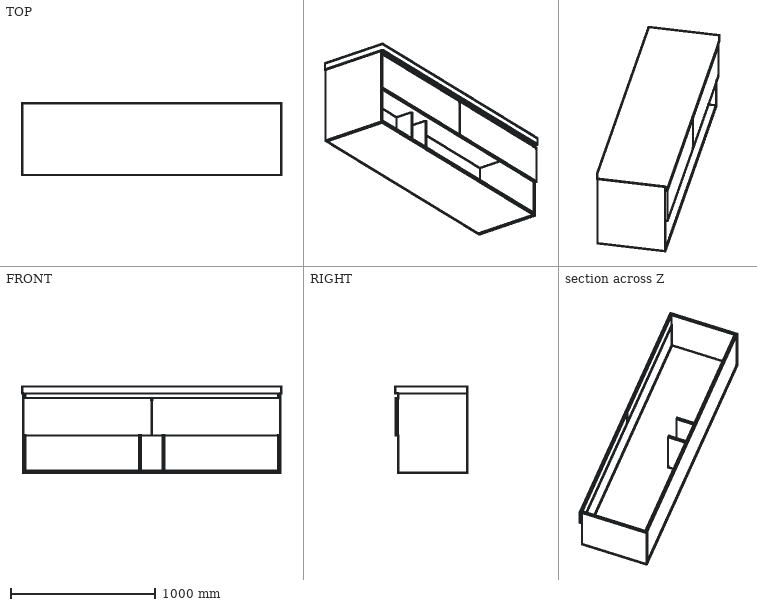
import cadquery as cq

length = 1800.0
depth = 500.0
height = 600.0

top_thickness = 49.0
top_edge_round = 1.0
top_side_overhang = 7.0
top_front_overhang = 20.0

panel = 16.0
cabinet_length = length - 2 * top_side_overhang
cabinet_height = height - top_thickness
cabinet_front = top_front_overhang
cabinet_depth = depth - cabinet_front
inner_length = cabinet_length - 2 * panel

head_thickness = 45.0
rib_spacing = 162.0
rib_depth = 144.0

drawer_bottom = 260.0
drawer_height = 261.0
drawer_top_drop = 7.0
drawer_gap = 5.0
drawer_length = (cabinet_length - drawer_gap) / 2


def block(x_centre, y_front, z_bottom, x_size, y_size, z_size):
    """Box centred on x_centre, running back from y_front and up from z_bottom."""
    return (
        cq.Workplane("XY")
        .box(x_size, y_size, z_size, centered=(True, False, False))
        .translate((x_centre, y_front, z_bottom))
    )


def make_worktop():
    slab = block(0, 0, cabinet_height, length, depth, top_thickness)
    return slab.edges("|Z or >Z").fillet(top_edge_round)


def make_side_panel(side):
    x_centre = side * (cabinet_length - panel) / 2
    return block(x_centre, cabinet_front, 0, panel, cabinet_depth, cabinet_height)


def make_floor_panel():
    return block(0, cabinet_front, 0, inner_length, cabinet_depth, panel)


def make_inner_frame():
    head_bottom = cabinet_height - head_thickness
    frame = block(0, cabinet_front, head_bottom, inner_length, cabinet_depth, head_thickness)
    standing_height = cabinet_height - panel
    back = block(0, depth - panel, panel, inner_length, panel, standing_height)
    frame = frame.union(back)
    for side in (-1, 1):
        rib = block(side * rib_spacing / 2, depth - rib_depth, panel, panel, rib_depth, standing_height)
        frame = frame.union(rib)
    return frame


def make_drawer_front(side):
    """Front board whose top edge slopes down toward the back as a finger grip."""
    x_centre = side * (drawer_length + drawer_gap) / 2
    y_front = cabinet_front - panel
    drawer_top = drawer_bottom + drawer_height
    profile = [
        (y_front, drawer_bottom),
        (cabinet_front, drawer_bottom),
        (cabinet_front, drawer_top - drawer_top_drop),
        (y_front, drawer_top),
    ]
    board = cq.Workplane("YZ").polyline(profile).close().extrude(drawer_length)
    return board.translate((x_centre - drawer_length / 2, 0, 0))


worktop = make_worktop()
floor_panel = make_floor_panel()
inner_frame = make_inner_frame()
side_panels = []
drawer_fronts = []
for side in (-1, 1):
    side_panels.append(make_side_panel(side).val())
    drawer_fronts.append(make_drawer_front(side).val())

result = cq.Compound.makeCompound(
    [worktop.val(), floor_panel.val(), inner_frame.val(), *side_panels, *drawer_fronts]
)